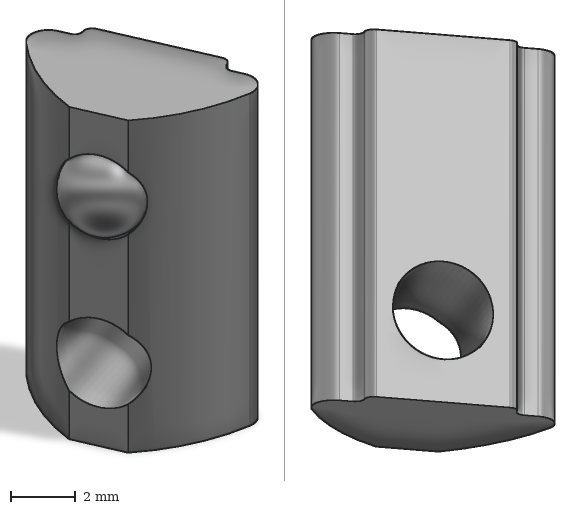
import cadquery as cq
import math

length = 12.0
half_width = 3.85
depth = 4.6
front_flat_half = 1.0

tongue_half = 2.42
tongue_height = 0.6
tongue_radius = tongue_height / 2

shoulder_radius = 0.7
flank_radius = 7.5

end_distance = length / 4
ball_radius = 1.5
ball_protrusion = 1.01
hole_diameter = 3.19

ball_z = length - end_distance
hole_z = end_distance
ball_y = -(depth + ball_protrusion - ball_radius)


def flank_center():
    """Center of the flank arc: through the front flat corner, tangent inside to the shoulder arc."""
    shoulder_x = half_width - shoulder_radius
    shoulder_y = -tongue_height - shoulder_radius
    dx = shoulder_x - front_flat_half
    dy = shoulder_y + depth
    gap = math.hypot(dx, dy)
    center_distance = flank_radius - shoulder_radius
    along = (flank_radius**2 - center_distance**2 + gap**2) / (2 * gap)
    across = math.sqrt(flank_radius**2 - along**2)
    center_x = front_flat_half + (along * dx - across * dy) / gap
    center_y = -depth + (along * dy + across * dx) / gap
    return center_x, center_y


def arc_point(center, radius, angle):
    return center[0] + radius * math.cos(angle), center[1] + radius * math.sin(angle)


def half_blank():
    """Right half of the nut, closed on the symmetry plane."""
    diagonal = math.radians(45)
    edge_center = (tongue_half - tongue_radius, -tongue_radius)
    root_center = (tongue_half + tongue_radius, -tongue_radius)
    shoulder = (half_width - shoulder_radius, -tongue_height - shoulder_radius)
    flank = flank_center()

    tangent_angle = math.atan2(shoulder[1] - flank[1], shoulder[0] - flank[0])
    flat_angle = math.atan2(-depth - flank[1], front_flat_half - flank[0])
    shoulder_middle = (math.pi / 2 + tangent_angle) / 2
    flank_middle = (tangent_angle + flat_angle) / 2

    return (
        cq.Workplane("XY")
        .moveTo(0, 0)
        .lineTo(edge_center[0], 0)
        .threePointArc(arc_point(edge_center, tongue_radius, diagonal), (tongue_half, -tongue_radius))
        .threePointArc(
            arc_point(root_center, tongue_radius, math.pi + diagonal),
            (root_center[0], -tongue_height),
        )
        .lineTo(shoulder[0], -tongue_height)
        .threePointArc(
            arc_point(shoulder, shoulder_radius, shoulder_middle),
            arc_point(shoulder, shoulder_radius, tangent_angle),
        )
        .threePointArc(arc_point(flank, flank_radius, flank_middle), (front_flat_half, -depth))
        .lineTo(0, -depth)
        .close()
        .extrude(length)
    )


def make_ball():
    return cq.Workplane("XY").sphere(ball_radius).translate((0, ball_y, ball_z))


def ball_pocket():
    """Round-bottomed bore, open to the front, that seats the back half of the ball."""
    bore = (
        cq.Workplane("XZ", origin=(0, ball_y, ball_z))
        .circle(ball_radius)
        .extrude(depth)
    )
    return bore.union(make_ball())


def through_hole():
    return (
        cq.Workplane("XZ", origin=(0, 0, hole_z))
        .circle(hole_diameter / 2)
        .extrude(depth)
    )


def make_nut():
    half = half_blank()
    blank = half.union(half.mirror("YZ")).clean()
    return blank.cut(through_hole()).cut(ball_pocket())


nut = make_nut()
ball = make_ball()

result = cq.Compound.makeCompound([nut.solids().val(), ball.val()])